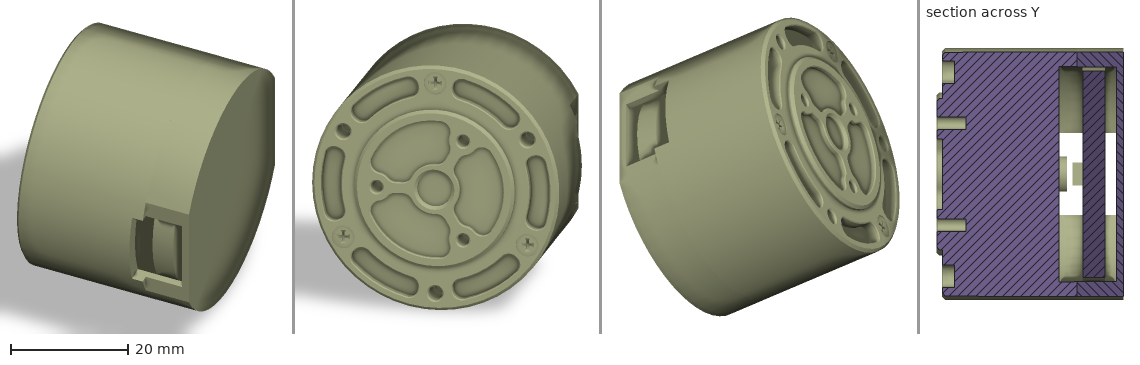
import cadquery as cq
import math


total_length = 32.0
body_radius = 21.5
edge_chamfer = 0.5
mouth_chamfer = 0.17
seam_x = 24.0
bore_radius = 19.0
cavity_start_x = 21.0
cavity_end_x = 30.7

boss_radius = 13.95
boss_height = 1.0
centre_hole_radius = 3.0
centre_hole_depth = 1.0

pocket_outer_radius = 12.0
pocket_inner_radius = 4.45
pocket_depth = boss_height
pocket_corner_radius = 1.8
spoke_width = 2.0
hole_pad_radius = 2.55

hole_depth = 5.0
hole_chamfer = 0.25
boss_hole_radius = 1.05
boss_hole_circle = 10.0
flange_hole_radius = 1.25
flange_narrow_radius = 1.0
flange_narrow_depth = 3.0
flange_circle = 18.5
boss_hole_angles = (0, 120, 240)
flange_hole_angles = (30, 150, 270)

slot_inner_radius = 16.4
slot_outer_radius = 19.9
slot_half_angle = 20.5
slot_corner_radius = 1.65
slot_depth = 2.0
slot_angles = range(0, 360, 60)

screw_angles = (90, 210, 330)
screw_radius = 1.98
screw_sink = 0.2
cross_reach = 1.15
cross_arm_width = 0.47
cross_tip_width = 0.77
cross_tip_length = 0.3
cross_depth = 1.0

shaft_radius = 3.0
shaft_end_x = 22.3

window_half_height = 6.95
front_window_start_x = 22.0
rear_window_start_x = cavity_start_x
window_end_x = cavity_end_x
flat_distance = 19.0

disc_start_x = 25.0
disc_end_x = 28.8
disc_radius = 18.35
chip_side = 3.85
chip_start_x = 23.25


def plane_at(x):
    return cq.Workplane("YZ", origin=(x, 0, 0))


def cylinder(radius, start_x, end_x):
    return plane_at(start_x).circle(radius).extrude(end_x - start_x)


def polar(radius, angle):
    turn = math.radians(angle)
    return (radius * math.cos(turn), radius * math.sin(turn))


def narrowing_cone(start_radius, end_radius, length, start):
    """Cone that narrows toward +X from the point start."""
    cone = cq.Solid.makeCone(start_radius, end_radius, length, cq.Vector(*start), cq.Vector(1, 0, 0))
    return cq.Workplane(cone)


def turned(shape, angle):
    return shape.rotate((0, 0, 0), (1, 0, 0), angle)


def ring_of(radius, angles):
    return [polar(radius, angle) for angle in angles]


def chamfer_mouths(body, size):
    """Break the edges of every opening in the face furthest toward -X."""
    face = body.faces("<X").val()
    edges = [edge for wire in face.innerWires() for edge in wire.Edges()]
    return cq.Workplane(body.val().chamfer(size, None, edges))


def drilled(body, x, points, radius, depth, chamfer):
    """Blind holes with chamfered mouths, bored from the face at x."""
    bores = plane_at(x).pushPoints(points).circle(radius).extrude(depth)
    for point in points:
        mouth = narrowing_cone(radius + chamfer, radius, chamfer, (x, *point))
        bores = bores.union(mouth)
    return body.cut(bores)


def boss_pockets():
    """Ring cut into three pockets by a spoke and a round pad at each boss hole."""
    ring = plane_at(0).circle(pocket_outer_radius).circle(pocket_inner_radius).extrude(pocket_depth)
    spoke = plane_at(0).center(body_radius / 2, 0).rect(body_radius, spoke_width).extrude(pocket_depth)
    pad = plane_at(0).center(boss_hole_circle, 0).circle(hole_pad_radius).extrude(pocket_depth)
    divider = spoke.union(pad)
    for angle in boss_hole_angles:
        ring = ring.cut(turned(divider, angle))
    return ring.edges("|X").fillet(pocket_corner_radius)


def flange_slot():
    """Curved slot with rounded ends, centred on the +Y direction."""
    return (
        plane_at(boss_height)
        .moveTo(*polar(slot_inner_radius, -slot_half_angle))
        .threePointArc((slot_inner_radius, 0), polar(slot_inner_radius, slot_half_angle))
        .lineTo(*polar(slot_outer_radius, slot_half_angle))
        .threePointArc((slot_outer_radius, 0), polar(slot_outer_radius, -slot_half_angle))
        .close()
        .extrude(slot_depth)
        .edges("|X")
        .fillet(slot_corner_radius)
    )


def screw_sinks():
    """Shallow round sinks with cross recesses that slope down to a point."""
    floor_x = boss_height + screw_sink
    points = ring_of(flange_circle, screw_angles)
    tip_offset = cross_reach - cross_tip_length / 2
    cutter = plane_at(boss_height).pushPoints(points).circle(screw_radius).extrude(screw_sink)
    for y, z in points:
        centre = cq.Workplane("YZ", origin=(floor_x, y, z))
        cross = centre.rect(2 * cross_reach, cross_arm_width).extrude(cross_depth)
        cross = cross.union(centre.rect(cross_arm_width, 2 * cross_reach).extrude(cross_depth))
        for side in (-tip_offset, tip_offset):
            cross = cross.union(
                centre.center(side, 0).rect(cross_tip_length, cross_tip_width).extrude(cross_depth)
            )
            cross = cross.union(
                centre.center(0, side).rect(cross_tip_width, cross_tip_length).extrude(cross_depth)
            )
        corner_reach = math.hypot(cross_reach, cross_tip_width / 2)
        cone = narrowing_cone(corner_reach, 0, cross_depth, (floor_x, y, z))
        cutter = cutter.union(cross.intersect(cone))
    return cutter


def window(start_x, side):
    """Window through the wall on the +Y half (side = 1) or the -Y half (side = -1)."""
    length = window_end_x - start_x
    opening = cq.Workplane("XY").box(length, body_radius, 2 * window_half_height)
    return opening.translate((start_x + length / 2, side * body_radius / 2, 0))


def windows():
    return window(front_window_start_x, -1).union(window(rear_window_start_x, 1))


def make_boss():
    boss = cylinder(body_radius, 0, boss_height)
    boss = boss.cut(boss_pockets())
    boss = chamfer_mouths(boss, mouth_chamfer)
    envelope = cylinder(boss_radius, 0, boss_height).faces("<X").chamfer(edge_chamfer)
    return boss.intersect(envelope)


def make_housing():
    flange = cylinder(body_radius, boss_height, seam_x)
    for angle in slot_angles:
        flange = flange.cut(turned(flange_slot(), angle))
    flange = chamfer_mouths(flange, mouth_chamfer)
    envelope = cylinder(body_radius, boss_height, seam_x).faces("<X").chamfer(edge_chamfer)
    flange = flange.intersect(envelope)
    flange = flange.cut(screw_sinks())

    housing = flange.union(make_boss())
    boss_holes = ring_of(boss_hole_circle, boss_hole_angles)
    flange_holes = ring_of(flange_circle, flange_hole_angles)
    housing = drilled(housing, 0, boss_holes, boss_hole_radius, hole_depth, hole_chamfer)
    housing = drilled(housing, boss_height, flange_holes, flange_hole_radius, hole_depth, hole_chamfer)
    narrow_plane = plane_at(boss_height + hole_depth).pushPoints(flange_holes)
    housing = housing.cut(narrow_plane.circle(flange_narrow_radius).extrude(flange_narrow_depth))
    housing = drilled(housing, 0, [(0, 0)], centre_hole_radius, centre_hole_depth, edge_chamfer)

    housing = housing.cut(cylinder(bore_radius, cavity_start_x, seam_x))
    housing = housing.cut(windows())
    return housing.union(cylinder(shaft_radius, cavity_start_x, shaft_end_x))


def make_cover():
    cover = cylinder(body_radius, seam_x, total_length)
    across = 2 * body_radius
    between_flats = plane_at(seam_x).rect(2 * flat_distance, across).extrude(total_length - seam_x)
    cover = cover.intersect(between_flats)
    cover = cover.cut(cylinder(bore_radius, seam_x, cavity_end_x))
    return cover.cut(windows())


def make_sensor_disc():
    disc = cylinder(disc_radius, disc_start_x, disc_end_x)
    chip = plane_at(chip_start_x).rect(chip_side, chip_side).extrude(disc_start_x - chip_start_x)
    return disc.union(chip)


housing = make_housing()
cover = make_cover()
sensor_disc = make_sensor_disc()

result = cq.Compound.makeCompound([housing.val(), cover.val(), sensor_disc.val()])